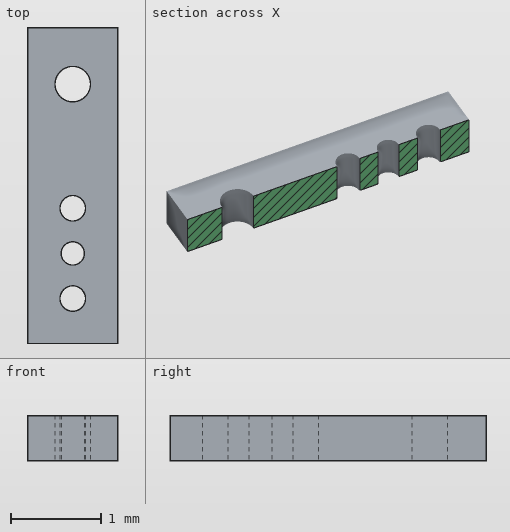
import cadquery as cq

width = 1.0
length = 3.5
thickness = 0.5

pitch = 0.5
outer_hole_diameter = 0.28
middle_hole_diameter = 0.255
row_diameters = [outer_hole_diameter, middle_hole_diameter, outer_hole_diameter]

large_hole_diameter = 0.39
large_hole_end_distance = 0.625


def drill(body, y, diameter):
    """Cut a through hole on the bar's centreline at the given Y."""
    hole = cq.Workplane("XY").center(0, y).circle(diameter / 2).extrude(thickness)
    return body.cut(hole)


result = cq.Workplane("XY").box(width, length, thickness, centered=(True, True, False))

for index, diameter in enumerate(row_diameters):
    result = drill(result, -length / 2 + (index + 1) * pitch, diameter)

result = drill(result, length / 2 - large_hole_end_distance, large_hole_diameter)